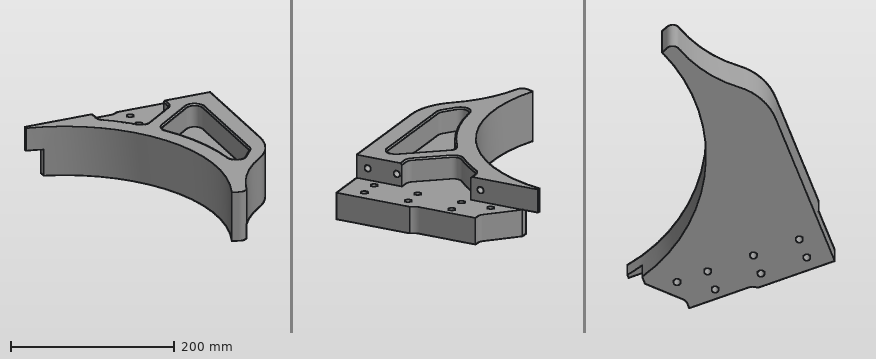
import cadquery as cq
import math

depth = 250.0
height = 66.0
plate_height = 35.5

ledge_width = 54.5
cradle_radius = 205.0
cradle_center = (260.0, -289.3)
shoulder_x = 202.5
shoulder_radius = 72.0
shoulder_end_angle = 38.7
tip_cut_angle = 68.25
tip_width = 19.7
tip_fillet = 10.0

plate_depth = 228.5
step_width = 4.5
step_start = 101.0
step_end = 112.0
left_side_end = 189.5
corner_cut_angle = 45.0
corner_fillet = 10.0

wall_margin = 26.0
web_angle = 51.7
web_thickness = 20.0
pocket_left_x = 67.0
pocket_right_x = 227.5
pocket_end_angle = 38.0
notch_back = 62.5
notch_front = 157.0
inner_fillet = 11.0
rim_chamfer = 2.0
rim_angle = 45.0

bolt_diameter = 9.0
bolt_columns = (16.5, 42.5)
bolt_first_row = 30.3
bolt_row_pitch = 60.0
bolt_rows = 3
extra_bolt_row = 190.7
screw_diameter = 8.5
screw_depth = 20.5
screw_point_angle = 118.0
screw_height = (plate_height + height) / 2
screw_rows = (15.3, 55.5, 170.5)


def polar(center, radius, angle):
    """Point on a circle, with the angle in degrees."""
    turn = math.radians(angle)
    return (center[0] + radius * math.cos(turn), center[1] + radius * math.sin(turn))


def run(drop, angle):
    """X distance covered while a line of the given slope drops toward -Y."""
    return drop / math.tan(math.radians(angle))


def make_arm():
    shoulder_center = (shoulder_x, -shoulder_radius)
    tip_corner = polar(cradle_center, cradle_radius + tip_width, tip_cut_angle)
    toe_angle = 180 - math.degrees(math.asin((-depth - cradle_center[1]) / cradle_radius))
    arm = (
        cq.Workplane("XY")
        .moveTo(ledge_width, -depth)
        .lineTo(ledge_width, 0)
        .lineTo(shoulder_x, 0)
        .tangentArcPoint(polar(shoulder_center, shoulder_radius, shoulder_end_angle), relative=False)
        .tangentArcPoint(tip_corner, relative=False)
        .lineTo(*polar(cradle_center, cradle_radius, tip_cut_angle))
        .threePointArc(
            polar(cradle_center, cradle_radius, (tip_cut_angle + toe_angle) / 2),
            polar(cradle_center, cradle_radius, toe_angle),
        )
        .close()
        .extrude(height)
        .edges(cq.selectors.NearestToPointSelector((*tip_corner, height / 2)))
        .fillet(tip_fillet)
    )
    toe_relief = cq.Workplane("XY").box(depth, depth, plate_height, centered=False)
    return arm.cut(toe_relief.translate((0, -plate_depth - depth, 0)))


def make_plate():
    """Ledge plate with a hollow step in its left side and a sloped front corner."""
    slope_start = ledge_width - run(plate_depth - left_side_end, corner_cut_angle)
    step_length = step_end - step_start
    step_radius = (step_width ** 2 + step_length ** 2) / (2 * step_width)
    return (
        cq.Workplane("XY")
        .moveTo(ledge_width, 0)
        .lineTo(0, 0)
        .lineTo(0, -step_start)
        .radiusArc((step_width, -step_end), step_radius)
        .lineTo(step_width, -left_side_end)
        .lineTo(slope_start, -left_side_end)
        .lineTo(ledge_width, -plate_depth)
        .close()
        .extrude(plate_height)
        .edges(cq.selectors.NearestToPointSelector((slope_start, -left_side_end, plate_height / 2)))
        .fillet(corner_fillet)
    )


def make_recess(corners):
    """Cutter above the ledge level, trimmed to leave the wall along the cradle and flared at the rim."""
    straight_height = height - plate_height - rim_chamfer
    cradle_wall = (
        cq.Workplane("XY").center(*cradle_center).circle(cradle_radius + wall_margin).extrude(straight_height)
    )
    recess = (
        cq.Workplane("XY")
        .polyline(corners)
        .close()
        .extrude(straight_height)
        .cut(cradle_wall)
        .edges("|Z")
        .fillet(inner_fillet)
        .faces(">Z")
        .wires()
        .toPending()
        .extrude(rim_chamfer, taper=-rim_angle)
    )
    return recess.translate((0, 0, plate_height))


def make_pocket():
    drop = notch_front - wall_margin
    return make_recess([
        (pocket_left_x, -wall_margin),
        (pocket_right_x, -wall_margin),
        (pocket_right_x + run(drop, pocket_end_angle), -notch_front),
        (pocket_left_x + run(drop, web_angle), -notch_front),
    ])


def make_notch():
    web_x = pocket_left_x - web_thickness / math.sin(math.radians(web_angle))
    return make_recess([
        (0, -notch_back),
        (web_x + run(notch_back - wall_margin, web_angle), -notch_back),
        (web_x + run(notch_front - wall_margin, web_angle), -notch_front),
        (0, -notch_front),
    ])


def make_bolt_holes():
    places = [
        (x, -bolt_first_row - row * bolt_row_pitch)
        for x in bolt_columns
        for row in range(bolt_rows)
    ]
    places.append((bolt_columns[-1], -extra_bolt_row))
    return cq.Workplane("XY").pushPoints(places).circle(bolt_diameter / 2).extrude(plate_height)


def make_screw_hole(row):
    """Blind hole with a drill point, running into the arm from its ledge face."""
    radius = screw_diameter / 2
    point_length = radius / math.tan(math.radians(screw_point_angle / 2))
    return (
        cq.Workplane("XY")
        .polyline([(0, 0), (0, radius), (screw_depth, radius), (screw_depth + point_length, 0)])
        .close()
        .revolve(360, (0, 0, 0), (1, 0, 0))
        .translate((ledge_width, -row, screw_height))
    )


result = make_arm().union(make_plate())
result = result.cut(make_pocket()).cut(make_notch()).cut(make_bolt_holes())
for row in screw_rows:
    result = result.cut(make_screw_hole(row))
result = result.solids()